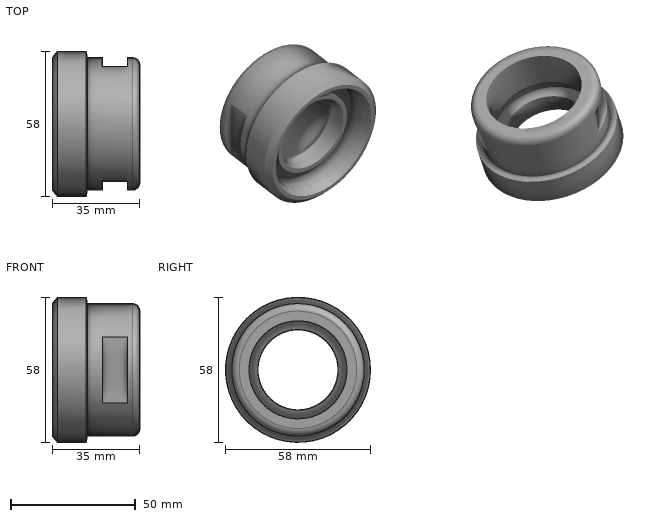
import cadquery as cq
import math

total_length = 35.0
flange_diameter = 58.0
body_diameter = 53.0
flange_length = 14.0
front_chamfer_angle = 40.0
rear_slope_angle = 10.0
rear_round_radius = 3.0

seat_diameter = 45.8
seat_half_angle = 15.0
seat_taper_length = 7.0
trench_depth = 3.5
tube_diameter = 36.0
tube_bore_diameter = 32.0
tube_rim_x = 7.0

relief_diameter = 41.91
socket_diameter = 39.2
relief_start_x = 15.0
socket_start_x = 19.5
relief_taper_angle = 40.0

across_flats = 46.0
flat_width = 10.0
flat_start_x = 20.0

flange_step = (flange_diameter - body_diameter) / 2
front_chamfer_length = flange_step * math.tan(math.radians(front_chamfer_angle))
rear_slope_length = flange_step * math.tan(math.radians(rear_slope_angle))
mouth_diameter = seat_diameter + 2 * seat_taper_length * math.tan(math.radians(seat_half_angle))
trench_floor_x = seat_taper_length + trench_depth
relief_step = (relief_diameter - socket_diameter) / 2
relief_taper_length = relief_step / math.tan(math.radians(relief_taper_angle))
relief_end_x = socket_start_x - relief_taper_length


def revolve_about_x(profile_points):
    """Turn a closed outline of (x, diameter) points about the X axis."""
    outline = [(x, diameter / 2) for x, diameter in profile_points]
    return cq.Workplane("XY").polyline(outline).close().revolve(360, (0, 0, 0), (1, 0, 0))


def make_outer_body():
    """Chamfered flange stepping down to a cylinder with a rounded rear edge."""
    body = revolve_about_x([
        (0, 0),
        (0, body_diameter),
        (front_chamfer_length, flange_diameter),
        (flange_length - rear_slope_length, flange_diameter),
        (flange_length, body_diameter),
        (total_length, body_diameter),
        (total_length, 0),
    ])
    return body.faces(">X").edges().fillet(rear_round_radius)


def make_mouth():
    """Tapered seat and ring trench, leaving the inner tube standing."""
    return revolve_about_x([
        (0, 0),
        (0, mouth_diameter),
        (seat_taper_length, seat_diameter),
        (trench_floor_x, seat_diameter),
        (trench_floor_x, tube_diameter),
        (tube_rim_x, tube_diameter),
        (tube_rim_x, 0),
    ])


def make_through_bore():
    """Tube bore opening into the relief, which tapers to the rear socket."""
    return revolve_about_x([
        (0, 0),
        (0, tube_bore_diameter),
        (relief_start_x, tube_bore_diameter),
        (relief_start_x, relief_diameter),
        (relief_end_x, relief_diameter),
        (socket_start_x, socket_diameter),
        (total_length, socket_diameter),
        (total_length, 0),
    ])


def make_flat_cutter(side):
    """Block that cuts one wrench flat; side is +1 for +Y or -1 for -Y."""
    block_depth = body_diameter - across_flats
    block_centre_x = flat_start_x + flat_width / 2
    block_centre_y = side * (across_flats + block_depth) / 2
    block = cq.Workplane("XY").box(flat_width, block_depth, body_diameter)
    return block.translate((block_centre_x, block_centre_y, 0))


result = make_outer_body().cut(make_mouth()).cut(make_through_bore())
for flat_side in (1, -1):
    result = result.cut(make_flat_cutter(flat_side))